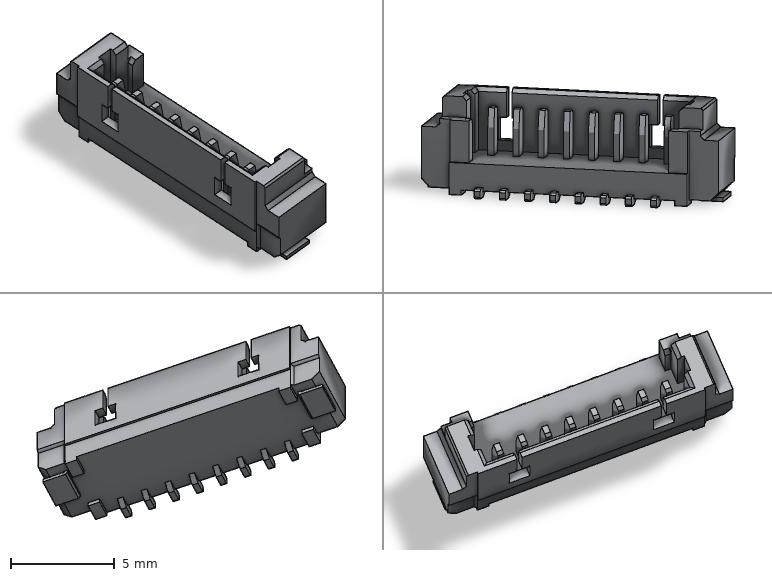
import cadquery as cq


pin_count = 8
pitch = 1.25
pin_width = 0.3

height = 4.7
body_bottom = 0.3
body_half = 5.9
floor_top = 1.63
floor_back = 3.8
front_lip_bottom = 1.46
lower_front = 0.1
back_wall_height = 3.68
post_front = 2.86
post_back = 3.64
post_inner = 4.96
post_bevel = 0.23

cavity_half = 5.27
front_wall = 0.464
lead_in = 0.2
key_depth = 0.35
key_front = 1.21
key_back = 2.02

latch_x = 3 * pitch
slot_width = 0.27
window_width = 1.07
window_bottom = 2.15
window_top = 3.28

wing_half = 7.375
wing_back = 3.39
wing_inner = 6.47
wing_shoulder = 3.26
shoulder_bevel = 0.2
top_bevel = 0.1
base_bevel = 0.4
recess_depth = 0.13
recess_top = 1.9

foot_bottom = 0.05
foot_length = 0.9
foot_width = 0.6
tab_outer = 7.33
tab_inner = 6.04
tab_front = 0.69
tab_back = 2.28
tab_thickness = 0.2
tab_corner = 0.1

pin_front = 0.86
pin_back = 1.62
pin_top = 3.93
pin_tip_inset = 0.18
pin_front_taper = 0.1
pin_back_taper = 0.95
tail_end = 4.32
tail_heel = 3.68
tail_heel_run = 0.45
tail_height = 0.48
tail_bevel = 0.1


def box(x0, x1, y0, y1, z0, z1):
    """Axis-aligned block between two opposite corners."""
    return cq.Workplane("XY").box(x1 - x0, y1 - y0, z1 - z0, centered=False).translate((x0, y0, z0))


def extrude_along_x(yz_points, x0, x1):
    """Prism with a Y-Z outline running from x0 to x1."""
    return cq.Workplane("YZ").polyline(yz_points).close().extrude(x1 - x0).translate((x0, 0, 0))


def extrude_along_y(xz_points, y0, y1):
    """Prism with an X-Z outline running from y0 to y1."""
    return cq.Workplane("XZ").polyline(xz_points).close().extrude(y0 - y1).translate((0, y0, 0))


def both_ends(shape):
    """The shape together with its mirror image at the other end."""
    return shape.union(shape.mirror("YZ"))


def make_body():
    """Floor, rear ledge and full-height front block, before the cavity is cut."""
    side = [
        (lower_front, body_bottom),
        (floor_back, body_bottom),
        (floor_back, floor_top),
        (post_front, floor_top),
        (post_front, height),
        (0, height),
        (0, front_lip_bottom),
        (lower_front, front_lip_bottom),
    ]
    return extrude_along_x(side, -body_half, body_half)


def make_wing():
    """Stepped wing on the +X end, with the rear part of its tall wall lowered."""
    outline = [
        (cavity_half, body_bottom),
        (wing_half - base_bevel, body_bottom),
        (wing_half, body_bottom + base_bevel),
        (wing_half, wing_shoulder),
        (wing_inner + shoulder_bevel, wing_shoulder),
        (wing_inner, wing_shoulder + shoulder_bevel),
        (wing_inner, height - top_bevel),
        (wing_inner - top_bevel, height),
        (cavity_half, height),
    ]
    wing = extrude_along_y(outline, lower_front, wing_back)
    lowered = box(0, wing_half, post_front, floor_back, back_wall_height, height)
    return wing.cut(lowered).cut(make_wing_recess())


def make_wing_recess():
    """Recess in the wing's front, its top and inner sides tapering inwards."""
    width = wing_half - body_half
    depth = recess_top - body_bottom
    mouth = cq.Workplane("XZ", origin=(body_half, lower_front, body_bottom)).rect(width, depth, centered=False)
    return (
        mouth.workplane(offset=-recess_depth)
        .moveTo(recess_depth, 0)
        .lineTo(width, 0)
        .lineTo(width, depth - recess_depth)
        .lineTo(recess_depth, depth - recess_depth)
        .close()
        .loft(ruled=True)
    )


def make_post():
    """Rear corner post on the +X end, its inner front top edge bevelled."""
    post = box(post_inner, body_half, post_front, post_back, body_bottom, back_wall_height)
    bevel = [
        (post_front, back_wall_height - post_bevel),
        (post_front, back_wall_height),
        (post_front + post_bevel, back_wall_height),
    ]
    return post.cut(extrude_along_x(bevel, post_inner, cavity_half))


def make_cavity():
    """Mating cavity with bevelled mouth and a key recess in each end wall."""
    pocket = box(-cavity_half, cavity_half, front_wall, post_front, floor_top, height)
    rim = height - lead_in
    mouth_half = cavity_half + lead_in
    end_bevel = [
        (0, rim),
        (cavity_half, rim),
        (mouth_half, height),
        (0, height),
    ]
    front_bevel = [
        (front_wall, rim),
        (post_front, rim),
        (post_front, height),
        (front_wall - lead_in, height),
    ]
    mouth = both_ends(extrude_along_y(end_bevel, 0, post_front)).intersect(
        extrude_along_x(front_bevel, -mouth_half, mouth_half)
    )
    keys_half = cavity_half + key_depth
    keys = box(-keys_half, keys_half, key_front, key_back, floor_top, height)
    return pocket.union(mouth).union(keys)


def make_latch_opening():
    """Window with a narrow slot up to the rim, through the front wall on the +X side."""
    window = box(
        latch_x - window_width / 2, latch_x + window_width / 2,
        0, front_wall,
        window_bottom, window_top,
    )
    slot = box(
        latch_x - slot_width / 2, latch_x + slot_width / 2,
        0, front_wall,
        window_top, height,
    )
    return window.union(slot)


def make_feet():
    """Front and rear standoff feet under the +X end of the body."""
    inner = body_half - foot_width
    front = box(inner, body_half, lower_front, lower_front + foot_length, foot_bottom, body_bottom)
    rear = box(inner, body_half, floor_back - foot_length, floor_back, foot_bottom, body_bottom)
    return front.union(rear)


def make_tab():
    """L-shaped solder tab on the +X end: flat plate with a leg up into the wing."""
    plate_top = foot_bottom + tab_thickness
    leg_outer = tab_inner + tab_thickness
    outline = [
        (tab_inner + tab_corner, foot_bottom),
        (tab_outer, foot_bottom),
        (tab_outer, plate_top),
        (leg_outer, plate_top),
        (leg_outer, body_bottom),
        (tab_inner, body_bottom),
        (tab_inner, foot_bottom + tab_corner),
    ]
    return extrude_along_y(outline, tab_front, tab_back)


def make_contact(x):
    """Upright pin with tapered tip, and the solder tail behind it."""
    pin = [
        (pin_front, floor_top),
        (pin_back, floor_top),
        (pin_back, pin_top - pin_back_taper),
        (pin_back - pin_tip_inset, pin_top),
        (pin_front + pin_tip_inset, pin_top),
        (pin_front, pin_top - pin_front_taper),
    ]
    tail = [
        (tail_heel, 0),
        (tail_end - tail_bevel, 0),
        (tail_end, tail_bevel),
        (tail_end, tail_height - tail_bevel),
        (tail_end - tail_bevel, tail_height),
        (tail_heel, tail_height),
        (tail_heel - tail_heel_run, body_bottom),
    ]
    left = x - pin_width / 2
    right = x + pin_width / 2
    return extrude_along_x(pin, left, right).union(extrude_along_x(tail, left, right))


housing = make_body().union(both_ends(make_wing()))
housing = housing.cut(make_cavity()).cut(both_ends(make_latch_opening()))
for end_part in (make_post(), make_feet(), make_tab()):
    housing = housing.union(both_ends(end_part))

result = housing
for i in range(pin_count):
    result = result.union(make_contact((i - (pin_count - 1) / 2) * pitch))